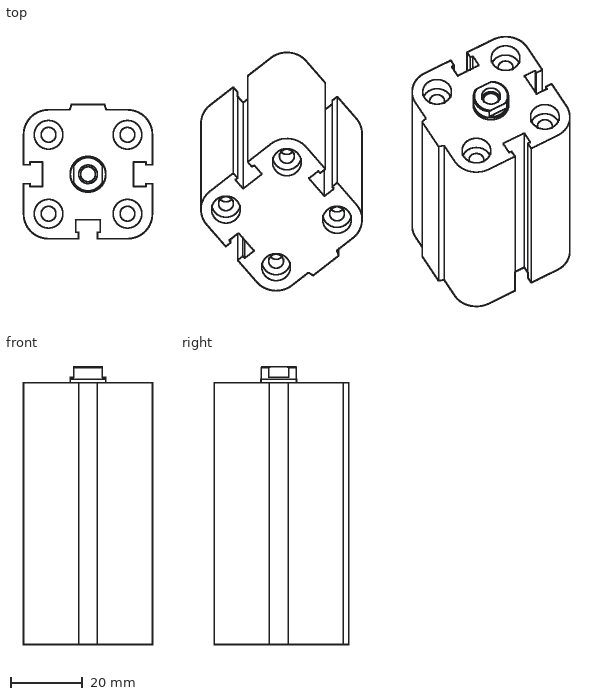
import cadquery as cq


body_width = 36.0
body_height = 73.0
corner_radius = 7.0
cap_height = 12.5

slot_mouth_width = 5.2
slot_inner_width = 6.8
slot_lip = 1.9
slot_depth = 5.3

rail_height = 1.5
rail_base_width = 10.2
rail_top_width = 9.2

mount_pitch = 22.0
mount_bore = 4.13
mount_bore_depth = cap_height
counterbore_diameter = 8.0
counterbore_depth = 5.0

rod_diameter = 10.0
rod_exposed = 4.5
rod_collar = 1.0
rod_tip_diameter = 9.8
rod_tip_chamfer = 0.3
rod_flats_width = 8.0
rod_flats_height = 3.0
rod_guide_depth = cap_height
rod_thread_bore = 4.13
rod_mouth_diameter = 5.2
rod_mouth_depth = 2.0
rod_thread_depth = 10.0

half_width = body_width / 2
rod_base_z = body_height - rod_guide_depth
rod_top_z = body_height + rod_exposed
collar_top_z = body_height + rod_collar


def profile_block(height):
    """Rounded square block with the sloped-side rail on its +Y side."""
    block = (
        cq.Workplane("XY")
        .rect(body_width, body_width)
        .extrude(height)
        .edges("|Z")
        .fillet(corner_radius)
    )
    rail = (
        cq.Workplane("XY")
        .moveTo(-rail_base_width / 2, 0)
        .lineTo(-rail_base_width / 2, half_width)
        .lineTo(-rail_top_width / 2, half_width + rail_height)
        .lineTo(rail_top_width / 2, half_width + rail_height)
        .lineTo(rail_base_width / 2, half_width)
        .lineTo(rail_base_width / 2, 0)
        .close()
        .extrude(height)
    )
    return block.union(rail)


def t_slot(angle):
    """Cutter for one full-height T-slot: on the -Y side, turned about Z by angle."""
    mouth = (
        cq.Workplane("XY")
        .center(0, -half_width + slot_depth / 2)
        .rect(slot_mouth_width, slot_depth)
        .extrude(body_height)
    )
    inner_depth = slot_depth - slot_lip
    inner = (
        cq.Workplane("XY")
        .center(0, -half_width + slot_lip + inner_depth / 2)
        .rect(slot_inner_width, inner_depth)
        .extrude(body_height)
    )
    return mouth.union(inner).rotate((0, 0, 0), (0, 0, 1), angle)


def mounting_hole_set(diameter, start_z, depth):
    """Four equal cylinders on the mounting pattern, rising from start_z."""
    return (
        cq.Workplane("XY", origin=(0, 0, start_z))
        .rect(mount_pitch, mount_pitch, forConstruction=True)
        .vertices()
        .circle(diameter / 2)
        .extrude(depth)
    )


def make_housing():
    housing = profile_block(body_height)
    for angle in (0, 90, -90):
        housing = housing.cut(t_slot(angle))
    for diameter, depth in (
        (mount_bore, mount_bore_depth),
        (counterbore_diameter, counterbore_depth),
    ):
        for start_z in (0, body_height - depth):
            housing = housing.cut(mounting_hole_set(diameter, start_z, depth))
    guide_bore = (
        cq.Workplane("XY", origin=(0, 0, rod_base_z))
        .circle(rod_diameter / 2)
        .extrude(rod_guide_depth)
    )
    return housing.cut(guide_bore)


def rod_bore(diameter, depth):
    """Cutter for a round hole going down from the rod tip."""
    return (
        cq.Workplane("XY", origin=(0, 0, rod_top_z))
        .circle(diameter / 2)
        .extrude(-depth)
    )


def make_rod():
    rod = (
        cq.Workplane("XY", origin=(0, 0, rod_base_z))
        .circle(rod_diameter / 2)
        .extrude(collar_top_z - rod_base_z)
    )
    tip = (
        cq.Workplane("XY", origin=(0, 0, collar_top_z))
        .circle(rod_tip_diameter / 2)
        .extrude(rod_top_z - collar_top_z)
        .faces(">Z")
        .chamfer(rod_tip_chamfer)
    )
    rod = rod.union(tip)

    flats = (
        cq.Workplane("XY", origin=(0, 0, rod_top_z - rod_flats_height))
        .rect(2 * rod_diameter, 2 * rod_diameter)
        .rect(rod_flats_width, 2 * rod_diameter)
        .extrude(rod_flats_height)
    )

    thread = rod_bore(rod_thread_bore, rod_thread_depth)
    mouth = rod_bore(rod_mouth_diameter, rod_mouth_depth)
    return rod.cut(flats).cut(thread).cut(mouth)


housing = make_housing()
rod = make_rod()

result = cq.Compound.makeCompound([housing.val(), rod.val()])